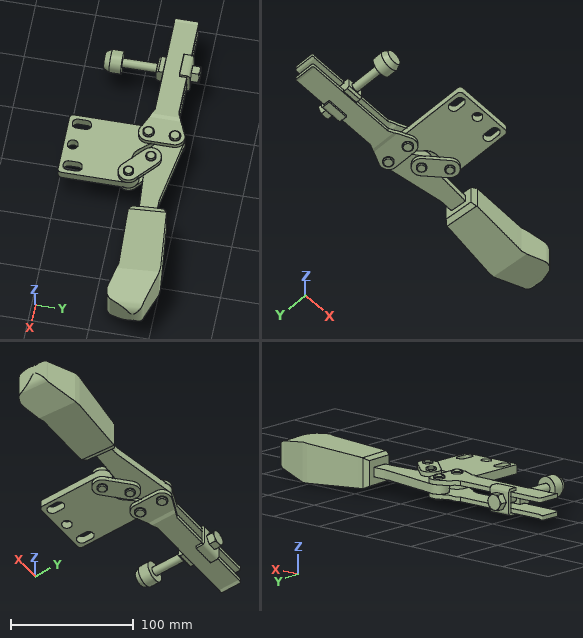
import cadquery as cq
import math


core_half = 4.0
strap_thickness = 4.0
strap_outer = core_half + strap_thickness
rivet_head_height = 2.0
rivet_chamfer = 0.9

plate_pivot = (0, 0)
lever_pivot = (0, 22.0)
link_upper_pivot = (22.8, 6.3)
link_lower_pivot = (40.2, -9.0)
arm_rivet_diameter = 9.5
link_rivet_diameter = 8.5

lug_radius = 8.0
link_lug_radius = 8.5
plate_left = plate_pivot[0] - lug_radius
plate_right = link_lower_pivot[0] + link_lug_radius
plate_center_x = (plate_left + plate_right) / 2
plate_bottom = -66.5
plate_corner_radius = 3.5
lug_tangent_angle = math.radians(42)
recess_floor = link_lower_pivot[1]
recess_radius = 11.5
slot_offset = 20.5
slot_width = 8.5
slot_length = 15.7
slot_center_y = -55.2
hole_diameter = 8.5
hole_y = -59.0

arm_center_y = lever_pivot[1] / 2
arm_head_radius = 8.3
arm_half_height = 10.0
arm_top = arm_center_y + arm_half_height
arm_bottom = arm_center_y - arm_half_height
arm_tip_x = -111.3
arm_flare_start = -108.5
arm_flare = 0.9
arm_taper_start = -22.5
arm_jog_start = -17.7
arm_jog_end = -14.5
arm_jog = 0.9
arm_gap_half = core_half + arm_jog
arm_outer = strap_outer + arm_jog
arm_corner_radius = 1.0
strap_blank_depth = 57.0

link_radius = 8.5

lever_radius = 8.3
lever_neck_x = 60.7
lever_neck_top = 20.2
lever_end_x = 85.5
lever_bottom_corner = (29.5, 2.3)
lever_bottom_end_y = 6.3

grip_tilt = 4.0
grip_tilt_center = (74.0, 11.5)
grip_front = -1.0
grip_end = 99.7
grip_front_half = 10.5
grip_shoulder = 4.0
grip_shoulder_half = 13.0
grip_crown = 64.5
grip_crown_half = 17.0
grip_nose = 92.0
grip_nose_half = 12.0
grip_nose_bulge = (97.5, 8.5)
grip_blank_depth = 85.5

grip_front_top = (72.3, 26.2)
grip_front_bottom = (74.0, -0.3)
grip_mouth_top = (76.3, 29.3)
grip_neck_top = (81.2, 29.5)
grip_neck_bottom = (79.7, -2.3)
grip_back_start = (132.5, 34.7)
grip_back_end = (137.8, 34.5)
grip_waist_start = (129.0, 0.0)
grip_waist_end = (134.7, 0.3)
grip_heel_start = (155.5, -4.8)
grip_heel_middle = (162.3, -4.3)
grip_heel_end = (167.0, -0.5)
grip_tip_start = (165.0, 26.8)
grip_tip_middle = (172.0, 22.8)
grip_tip_end = (172.8, 15.5)

screw_x = -67.2
screw_diameter = 8.0
hex_across_flats = 13.0
hex_turn = 30.0
hex_top = 30.2
hex_chamfer = 0.9
clip_width = 20.2
clip_thickness = 2.5
clip_top = arm_top + clip_thickness
clip_bend_radius = 2.8
clip_leg_end = 14.8
nut_width = 15.0
nut_flange_half = 7.0
nut_tongue_top = 6.8
nut_bottom = -5.0
nut_chamfer = 2.0
foot_diameter = 19.5
foot_tip_diameter = 14.2
foot_top = -34.0
foot_cone_top = -43.5
foot_bottom = -48.7


def polar(center, radius, angle):
    """Point at a radius and an angle (radians) about a center."""
    return (center[0] + radius * math.cos(angle), center[1] + radius * math.sin(angle))


def capsule(start, end, radius, half_thickness):
    """Flat bar with round ends, centered on z = 0."""
    length = math.dist(start, end)
    angle = math.degrees(math.atan2(end[1] - start[1], end[0] - start[0]))
    middle = ((start[0] + end[0]) / 2, (start[1] + end[1]) / 2)
    return (
        cq.Workplane("XY")
        .center(*middle)
        .slot2D(length + 2 * radius, 2 * radius, angle)
        .extrude(half_thickness, both=True)
    )


def pin(center, diameter, half_length):
    """Round pin along Z, centered on z = 0."""
    return cq.Workplane("XY").center(*center).circle(diameter / 2).extrude(half_length, both=True)


def rivet(center, diameter):
    """Pin that stands out of both straps, with chamfered ends."""
    return pin(center, diameter, strap_outer + rivet_head_height).faces("|Z").chamfer(rivet_chamfer)


def make_base_plate():
    lug_top = polar(plate_pivot, lug_radius, (math.pi + lug_tangent_angle) / 2)
    lug_end = polar(plate_pivot, lug_radius, lug_tangent_angle)
    recess_corner_x = lug_end[0] + (lug_end[1] - recess_floor) * math.tan(lug_tangent_angle)
    link_x, link_y = link_lower_pivot
    plate = (
        cq.Workplane("XY")
        .moveTo(plate_left, plate_bottom)
        .lineTo(plate_left, plate_pivot[1])
        .threePointArc(lug_top, lug_end)
        .lineTo(recess_corner_x, recess_floor)
        .lineTo(link_x - link_lug_radius, recess_floor)
        .threePointArc((link_x, link_y + link_lug_radius), (plate_right, link_y))
        .lineTo(plate_right, plate_bottom)
        .close()
        .extrude(core_half, both=True)
    )
    plate = plate.edges("|Z and <Y").fillet(plate_corner_radius)
    recess_corner = cq.selectors.NearestToPointSelector((recess_corner_x, recess_floor, 0))
    plate = plate.edges(recess_corner).fillet(recess_radius)
    slots = (
        cq.Workplane("XY")
        .pushPoints([(plate_center_x + side * slot_offset, slot_center_y) for side in (-1, 1)])
        .slot2D(slot_length, slot_width, 90)
        .extrude(core_half, both=True)
    )
    plate = plate.cut(slots).cut(pin((plate_center_x, hole_y), hole_diameter, core_half))
    plate = plate.cut(pin(plate_pivot, arm_rivet_diameter, core_half))
    return plate.cut(pin(link_lower_pivot, link_rivet_diameter, core_half))


def make_arm_outline():
    """Arm seen along Z: a straight bar that widens into a head around both pivots."""
    rise = lever_pivot[1] - arm_top
    reach = lever_pivot[0] - arm_taper_start
    tangent_angle = (
        math.pi / 2 + math.atan2(rise, reach)
        + math.asin(arm_head_radius / math.hypot(reach, rise))
    )
    tangent_x, tangent_y = polar(lever_pivot, arm_head_radius, tangent_angle)
    head_right = lever_pivot[0] + arm_head_radius
    upper_arc = polar(lever_pivot, arm_head_radius, tangent_angle / 2)
    half = (
        cq.Workplane("XY")
        .moveTo(arm_tip_x, arm_center_y)
        .lineTo(arm_tip_x, arm_top)
        .lineTo(arm_taper_start, arm_top)
        .lineTo(tangent_x, tangent_y)
        .threePointArc(upper_arc, (head_right, lever_pivot[1]))
        .lineTo(head_right, arm_center_y)
        .close()
        .extrude(arm_outer + arm_flare, both=True)
    )
    outline = half.union(half.mirror("XZ", (0, arm_center_y, 0)))
    return outline.faces("<X").edges("|Z").edges("<Y or >Y").fillet(arm_corner_radius)


def make_arm():
    """Two bent straps held together by the two pivot rivets."""
    head_right = lever_pivot[0] + arm_head_radius
    inner_edge = [
        (arm_tip_x, arm_gap_half + arm_flare),
        (arm_flare_start, arm_gap_half),
        (arm_jog_start, arm_gap_half),
        (arm_jog_end, core_half),
        (head_right, core_half),
    ]
    outer_edge = [(x, z + strap_thickness) for x, z in reversed(inner_edge)]
    strap = (
        cq.Workplane("XZ")
        .polyline(inner_edge + outer_edge)
        .close()
        .extrude(strap_blank_depth, both=True)
        .intersect(make_arm_outline())
    )
    arm = strap.union(strap.mirror("XY"))
    for pivot in (plate_pivot, lever_pivot):
        arm = arm.union(rivet(pivot, arm_rivet_diameter))
    return arm


def make_link():
    """Two straight straps held together by the two pivot rivets."""
    link = capsule(link_upper_pivot, link_lower_pivot, link_radius, strap_outer)
    link = link.cut(capsule(link_upper_pivot, link_lower_pivot, 2 * link_radius, core_half))
    for pivot in (link_upper_pivot, link_lower_pivot):
        link = link.union(rivet(pivot, link_rivet_diameter))
    return link


def make_lever_bar():
    """Flat bar around both lever pivots, with a tail that runs into the grip."""
    bar = capsule(lever_pivot, link_upper_pivot, lever_radius, core_half)
    drop = lever_pivot[1] - lever_neck_top
    reach = lever_neck_x - lever_pivot[0]
    tangent_angle = math.acos(lever_radius / math.hypot(reach, drop)) - math.atan2(drop, reach)
    tail = (
        cq.Workplane("XY")
        .moveTo(*lever_pivot)
        .lineTo(*polar(lever_pivot, lever_radius, tangent_angle))
        .lineTo(lever_neck_x, lever_neck_top)
        .lineTo(lever_end_x, lever_neck_top)
        .lineTo(lever_end_x, lever_bottom_end_y)
        .lineTo(*lever_bottom_corner)
        .lineTo(*link_upper_pivot)
        .close()
        .extrude(core_half, both=True)
    )
    bar = bar.union(tail)
    bar = bar.cut(pin(lever_pivot, arm_rivet_diameter, core_half))
    return bar.cut(pin(link_upper_pivot, link_rivet_diameter, core_half))


def make_grip():
    """Grip outline in the plane of the lever, limited by a thickness profile along its axis."""
    outline = (
        cq.Workplane("XY")
        .moveTo(*grip_front_top)
        .lineTo(*grip_mouth_top)
        .lineTo(*grip_neck_top)
        .lineTo(*grip_back_start)
        .lineTo(*grip_back_end)
        .lineTo(*grip_tip_start)
        .threePointArc(grip_tip_middle, grip_tip_end)
        .lineTo(*grip_heel_end)
        .threePointArc(grip_heel_middle, grip_heel_start)
        .lineTo(*grip_waist_end)
        .lineTo(*grip_waist_start)
        .lineTo(*grip_neck_bottom)
        .lineTo(*grip_front_bottom)
        .close()
        .extrude(grip_crown_half, both=True)
    )
    half = (
        cq.Workplane("XZ")
        .moveTo(grip_front, 0)
        .lineTo(grip_front, grip_front_half)
        .lineTo(grip_shoulder, grip_shoulder_half)
        .lineTo(grip_crown, grip_crown_half)
        .lineTo(grip_nose, grip_nose_half)
        .threePointArc(grip_nose_bulge, (grip_end, 0))
        .close()
        .extrude(grip_blank_depth, both=True)
    )
    envelope = half.union(half.mirror("XY"))
    envelope = envelope.rotate((0, 0, 0), (0, 0, 1), grip_tilt).translate((*grip_tilt_center, 0))
    return outline.intersect(envelope)


def make_handle():
    """Lever bar and grip as one body."""
    return make_lever_bar().union(make_grip())


def screw_shank(top, bottom):
    """Round shank of the clamping screw between two heights."""
    return (
        cq.Workplane("XZ", origin=(screw_x, top, 0))
        .circle(screw_diameter / 2)
        .extrude(top - bottom)
    )


def make_clip():
    """U-shaped clip that sits over the top edges of both arm straps."""
    clip_half = arm_outer + clip_thickness
    clip = cq.Workplane("XY").box(
        clip_width, clip_top - clip_leg_end, 2 * clip_half, centered=(True, False, True)
    )
    clip = clip.edges("|X and >Y").fillet(clip_bend_radius)
    opening = cq.Workplane("XY").box(
        clip_width, arm_top - clip_leg_end, 2 * arm_outer, centered=(True, False, True)
    )
    clip = clip.cut(opening).translate((screw_x, clip_leg_end, 0))
    return clip.cut(screw_shank(clip_top, arm_top))


def make_nut():
    """Nut with a tongue between the arm straps and a flange below them."""
    flange = cq.Workplane("XY").box(
        nut_width, arm_bottom - nut_bottom, 2 * nut_flange_half, centered=(True, False, True)
    )
    flange = flange.edges("|X and <Y").chamfer(nut_chamfer)
    tongue = cq.Workplane("XY").box(
        nut_width, nut_tongue_top - nut_bottom, 2 * arm_gap_half, centered=(True, False, True)
    )
    nut = flange.union(tongue).translate((screw_x, nut_bottom, 0))
    return nut.cut(screw_shank(nut_tongue_top, nut_bottom))


def make_screw():
    """Hexagon-head screw with a pressure foot, pointing towards -Y."""
    head = (
        cq.Workplane("XZ", origin=(screw_x, hex_top, 0))
        .polygon(6, hex_across_flats, circumscribed=True)
        .extrude(hex_top - clip_top)
        .rotate((screw_x, 0, 0), (screw_x, 1, 0), hex_turn)
    )
    head_round = (
        cq.Workplane("XZ", origin=(screw_x, hex_top, 0))
        .circle(hex_across_flats / math.sqrt(3))
        .extrude(hex_top - clip_top)
        .faces(">Y")
        .chamfer(hex_chamfer)
    )
    foot = (
        cq.Workplane("XY")
        .moveTo(0, foot_top)
        .lineTo(foot_diameter / 2, foot_top)
        .lineTo(foot_diameter / 2, foot_cone_top)
        .lineTo(foot_tip_diameter / 2, foot_bottom)
        .lineTo(0, foot_bottom)
        .close()
        .revolve(360, (0, 0, 0), (0, 1, 0))
        .translate((screw_x, 0, 0))
    )
    return head.intersect(head_round).union(screw_shank(clip_top, foot_top)).union(foot)


base_plate = make_base_plate()
arm = make_arm()
link = make_link()
handle = make_handle()
clip = make_clip()
nut = make_nut()
screw = make_screw()

result = cq.Compound.makeCompound(
    [body.solids().val() for body in (base_plate, arm, link, handle, clip, nut, screw)]
)